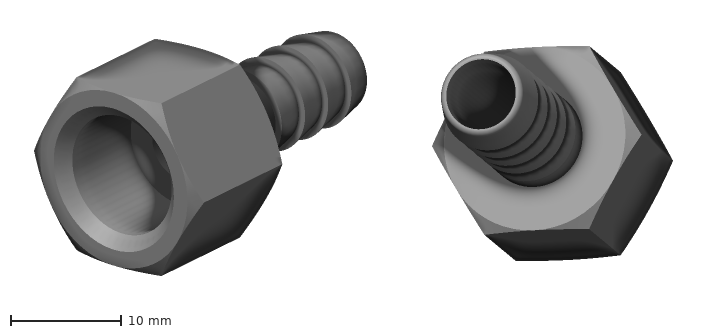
import cadquery as cq
import math

total_length = 32.5
across_flats = 17.0
nut_length = 13.0
neck_length = 2.55
barb_count = 5
barb_diameter = 8.97
barb_root_diameter = 7.55
tip_round = 0.5
bore_diameter = 6.5
socket_diameter = 11.47
socket_mouth_diameter = 13.88
socket_depth = 9.75
nut_chamfer_angle = 30.0
countersink_angle = 45.0

flat_radius = across_flats / 2
corner_radius = flat_radius / math.cos(math.radians(30))
nut_chamfer_height = (corner_radius - flat_radius) * math.tan(math.radians(nut_chamfer_angle))
barb_pitch = (total_length - nut_length - neck_length) / barb_count
barb_radius = barb_diameter / 2
barb_root_radius = barb_root_diameter / 2
bore_radius = bore_diameter / 2
socket_radius = socket_diameter / 2
mouth_radius = socket_mouth_diameter / 2
countersink_depth = (mouth_radius - socket_radius) / math.tan(math.radians(countersink_angle))


def revolve_about_y(points):
    """Revolve a closed (radius, y) outline around the Y axis."""
    return cq.Workplane("XY").polyline(points).close().revolve(360, (0, 0), (0, 1))


def make_nut():
    """Hexagon with corners on X, its corners bevelled at both ends."""
    hexagon = (
        cq.Workplane("XZ")
        .polygon(6, 2 * corner_radius)
        .extrude(-nut_length)
    )
    bevel_envelope = revolve_about_y([
        (0, 0),
        (flat_radius, 0),
        (corner_radius, nut_chamfer_height),
        (corner_radius, nut_length - nut_chamfer_height),
        (flat_radius, nut_length),
        (0, nut_length),
    ])
    return hexagon.intersect(bevel_envelope)


def make_hose_tail():
    """Plain neck followed by barbs, each tapering toward the hose end."""
    neck_end = nut_length + neck_length
    outline = [(0, nut_length), (barb_radius, nut_length)]
    for index in range(barb_count):
        barb_start = neck_end + index * barb_pitch
        outline.append((barb_radius, barb_start))
        outline.append((barb_root_radius, barb_start + barb_pitch))
    outline.append((0, total_length))
    return revolve_about_y(outline).faces(">Y").edges().fillet(tip_round)


def make_passage():
    """Through bore opening into a countersunk socket in the nut."""
    return revolve_about_y([
        (0, 0),
        (mouth_radius, 0),
        (socket_radius, countersink_depth),
        (socket_radius, socket_depth),
        (bore_radius, socket_depth),
        (bore_radius, total_length),
        (0, total_length),
    ])


result = make_nut().union(make_hose_tail()).cut(make_passage())